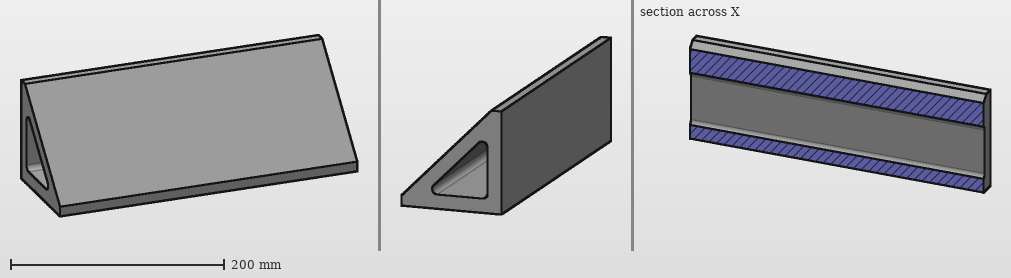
import cadquery as cq
import math

leg = 100.0
length = 300.0
tip_flat = 10.0
wall = 14.0
window_radius = 5.0

outer_slope_sum = leg + tip_flat
inner_slope_sum = outer_slope_sum - wall * math.sqrt(2)
window_tip = inner_slope_sum - wall


def extrude_section(points):
    """Extrude a closed XZ outline along +Y over the whole bar length."""
    return cq.Workplane("XZ").polyline(points).close().extrude(-length)


def make_body():
    """Right-angle triangular bar with both acute tips blunted."""
    return extrude_section([
        (0, 0),
        (leg, 0),
        (leg, tip_flat),
        (tip_flat, leg),
        (0, leg),
    ])


def make_window():
    """Rounded triangular passage running through the full length."""
    window = extrude_section([
        (wall, wall),
        (window_tip, wall),
        (wall, window_tip),
    ])
    return window.edges("|Y").fillet(window_radius)


result = make_body().cut(make_window())